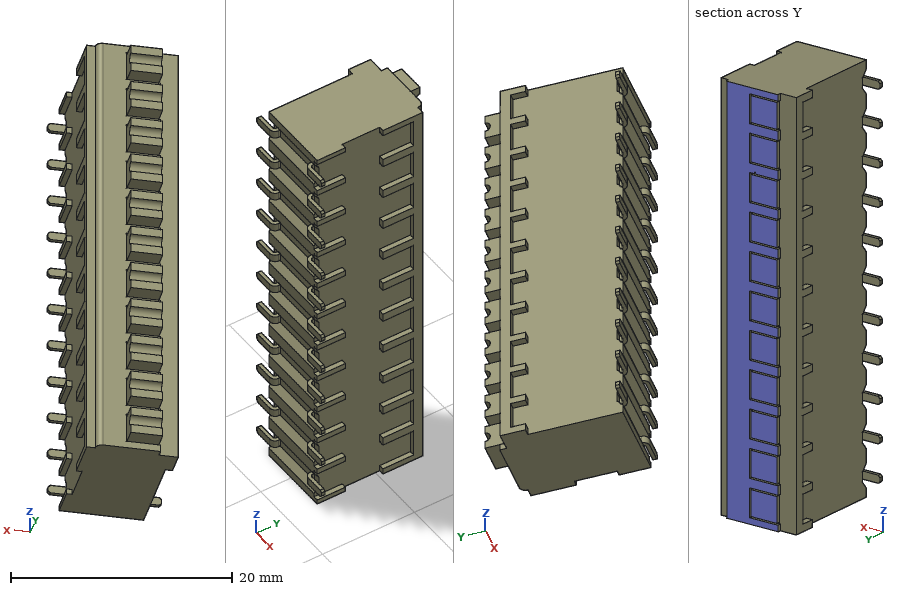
import cadquery as cq
import math


height = 42.3
depth = 13.85
pole_count = 11
pole_pitch = 3.81

lead_front_y = -0.24

left_wall_x = -3.62
right_wall_x = 3.67
lug_x = -4.28
rail_x = 4.2
shoulder_y = 11.5
back_y = 12.15
step_x = -2.5
round_start_x = 2.85
round_end_x = 3.4
lug_front_y = 9.08
groove_front_y = 3.07
groove_back_y = 7.16

rail_bar_y = 10.5
lug_tooth_height = 0.72
lug_end_height = 0.75
front_rib_height = 0.6
front_end_height = 0.5
back_rib_height = 0.88
back_end_height = 0.62

front_groove_depth = 0.57
front_groove_mouth = 2.44
front_groove_floor = 1.0

tab_left_x = -2.37
tab_right_x = 0.58
tab_height = 2.65
tab_back_y = lead_front_y + depth
notch_radius = 0.5
slot_clearance = 0.1

lead_span = 10.5
lead_width = 0.8
lead_thickness = 0.38
lead_bend_radius = 0.2
lead_stem_x = 2.56
lead_embed = 0.5
lead_tip_chamfer = 0.2


def pole_z(index):
    """Mid-height of one pole."""
    return (index - (pole_count - 1) / 2) * pole_pitch


def block(x0, x1, y0, y1, z0, z1):
    """Box between two opposite corners."""
    return cq.Workplane("XY").box(x1 - x0, y1 - y0, z1 - z0, centered=False).translate((x0, y0, z0))


def window_span(index, tooth_height, end_height):
    """Bottom and top of the rail window of one pole."""
    half_window = (pole_pitch - tooth_height) / 2
    half_open = height / 2 - end_height
    bottom = max(pole_z(index) - half_window, -half_open)
    top = min(pole_z(index) + half_window, half_open)
    return bottom, top


def make_body():
    """Extruded outline with the side rails still unbroken."""
    arc_middle_angle = math.radians(45)
    round_middle = (
        round_start_x + (round_end_x - round_start_x) * math.cos(arc_middle_angle),
        shoulder_y + (back_y - shoulder_y) * math.sin(arc_middle_angle),
    )
    outline = (
        cq.Workplane("XY", origin=(0, 0, -height / 2))
        .moveTo(left_wall_x, 0)
        .lineTo(rail_x, 0)
        .lineTo(rail_x, groove_front_y)
        .lineTo(right_wall_x, groove_front_y)
        .lineTo(right_wall_x, groove_back_y)
        .lineTo(rail_x, groove_back_y)
        .lineTo(rail_x, shoulder_y)
        .lineTo(round_end_x, shoulder_y)
        .threePointArc(round_middle, (round_start_x, back_y))
        .lineTo(step_x, back_y)
        .lineTo(step_x, shoulder_y)
        .lineTo(lug_x, shoulder_y)
        .lineTo(lug_x, lug_front_y)
        .lineTo(left_wall_x, lug_front_y)
        .close()
    )
    return outline.extrude(height)


def rail_windows(index):
    """Gaps between the teeth of the left lug and of both right-hand rails."""
    lug_z = window_span(index, lug_tooth_height, lug_end_height)
    front_z = window_span(index, front_rib_height, front_end_height)
    back_z = window_span(index, back_rib_height, back_end_height)
    return [
        block(lug_x, left_wall_x, lug_front_y, rail_bar_y, *lug_z),
        block(right_wall_x, rail_x, 0, groove_front_y, *front_z),
        block(right_wall_x, rail_x, groove_back_y, rail_bar_y, *back_z),
    ]


def front_groove(index):
    """Trapezoidal groove across the full width of the front face."""
    mouth = front_groove_mouth / 2
    floor = front_groove_floor / 2
    return (
        cq.Workplane("YZ", origin=(lug_x, 0, pole_z(index)))
        .polyline([(0, -mouth), (front_groove_depth, -floor), (front_groove_depth, floor), (0, mouth)])
        .close()
        .extrude(rail_x - lug_x)
    )


def tab_slot(index):
    """Slot in the back ridge around one push tab, open to the left."""
    half_slot = tab_height / 2 + slot_clearance
    z = pole_z(index)
    return block(step_x, tab_right_x + slot_clearance, shoulder_y, back_y, z - half_slot, z + half_slot)


def push_tab(index):
    """Tab standing on the slot floor, with a half-round notch across its end."""
    z = pole_z(index)
    tab = block(tab_left_x, tab_right_x, shoulder_y, tab_back_y, z - tab_height / 2, z + tab_height / 2)
    notch = (
        cq.Workplane("YZ", origin=(tab_left_x, tab_back_y, z))
        .circle(notch_radius)
        .extrude(tab_right_x - tab_left_x)
    )
    return tab.cut(notch)


def right_lead():
    """L-shaped lead: a foot pointing right and a stem entering the groove floor, centred on Z = 0."""
    tip_x = lead_span / 2
    stem_end_y = front_groove_depth + lead_embed
    foot_back_y = lead_front_y + lead_thickness
    stem_outer_x = lead_stem_x + lead_thickness
    lead = (
        cq.Workplane("XY", origin=(0, 0, -lead_width / 2))
        .moveTo(lead_stem_x, lead_front_y)
        .lineTo(tip_x, lead_front_y)
        .lineTo(tip_x, foot_back_y)
        .lineTo(stem_outer_x, foot_back_y)
        .lineTo(stem_outer_x, stem_end_y)
        .lineTo(lead_stem_x, stem_end_y)
        .close()
        .extrude(lead_width)
    )
    inner_corner = cq.selectors.NearestToPointSelector((stem_outer_x, foot_back_y, 0))
    outer_corner = cq.selectors.NearestToPointSelector((lead_stem_x, lead_front_y, 0))
    lead = lead.edges(inner_corner).fillet(lead_bend_radius)
    lead = lead.edges(outer_corner).fillet(lead_bend_radius + lead_thickness)
    return lead.faces(">X").edges("|Y").chamfer(lead_tip_chamfer)


def combine(parts):
    """Group of parts that do not touch one another, for use in a single cut or union."""
    return cq.Workplane(cq.Compound.makeCompound([part.val() for part in parts]))


lead_right = right_lead()
lead_left = lead_right.mirror("YZ")
poles = range(pole_count)

windows = combine([window for pole in poles for window in rail_windows(pole)])
front_grooves = combine([front_groove(pole) for pole in poles])
tab_slots = combine([tab_slot(pole) for pole in poles])
tabs = combine([push_tab(pole) for pole in poles])
leads = combine([lead.translate((0, 0, pole_z(pole))) for pole in poles for lead in (lead_right, lead_left)])

result = make_body().cut(windows).cut(front_grooves).cut(tab_slots).union(tabs).union(leads)